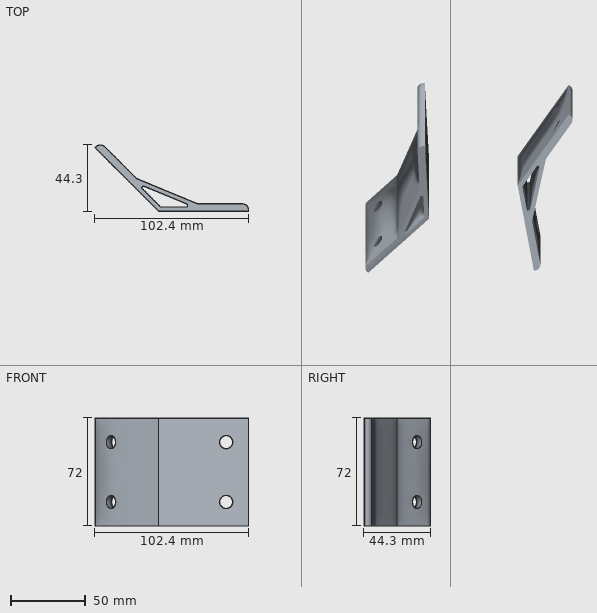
import cadquery as cq
import math

overall_length = 102.4
height = 72.0
thickness = 5.0
bend_angle = 45.0
tip_radius = 4.0

brace_reach = 26.0
brace_thickness = 3.0
opening_wall = 3.0
opening_reach = 19.2
opening_radius = 0.5

hole_diameter = 8.6
hole_inset = 15.0
hole_spacing = 39.9

bend = math.radians(bend_angle)
leg_length = overall_length / (1 + math.cos(bend))
half_bend = bend / 2


def second_leg(along, inward):
    """Point on the inclined leg, by distance from the bend and depth from the outer face."""
    return (
        -along * math.cos(bend) + inward * math.sin(bend),
        along * math.sin(bend) + inward * math.cos(bend),
    )


def make_body():
    """Bent plate and brace; both free tips are rounded on the inner side."""
    outline = [
        (0, 0),
        (leg_length, 0),
        (leg_length, thickness),
        (brace_reach, thickness),
        second_leg(brace_reach, thickness),
        second_leg(leg_length, thickness),
        second_leg(leg_length, 0),
    ]
    body = cq.Workplane("XY").polyline(outline).close().extrude(height)
    for corner in (outline[2], outline[5]):
        edge = cq.selectors.NearestToPointSelector((*corner, height / 2))
        body = body.edges("|Z").edges(edge).fillet(tip_radius)
    return body


def make_opening():
    """Opening bounded by both leg walls, the brace and a short face at each end."""
    bend_shift = opening_wall * math.tan(half_bend)
    brace_drop = brace_thickness / math.cos(half_bend)
    end_depth = thickness + (brace_reach - opening_reach) * math.tan(half_bend) - brace_drop
    outline = [
        (bend_shift, opening_wall),
        (opening_reach, opening_wall),
        (opening_reach, end_depth),
        second_leg(opening_reach, end_depth),
        second_leg(opening_reach, opening_wall),
    ]
    opening = cq.Workplane("XY").polyline(outline).close().extrude(height)
    for corner in outline[1:]:
        edge = cq.selectors.NearestToPointSelector((*corner, height / 2))
        opening = opening.edges("|Z").edges(edge).fillet(opening_radius)
    return opening


def make_hole(start, direction, z):
    """Drill through one leg, square to its outer face."""
    return cq.Workplane(cq.Solid.makeCylinder(
        hole_diameter / 2,
        thickness,
        cq.Vector(*start, z),
        cq.Vector(*direction, 0),
    ))


result = make_body().cut(make_opening())

hole_distance = leg_length - hole_inset
for z in (height / 2 - hole_spacing / 2, height / 2 + hole_spacing / 2):
    result = result.cut(make_hole((hole_distance, 0), (0, 1), z))
    result = result.cut(make_hole(second_leg(hole_distance, 0), second_leg(0, 1), z))